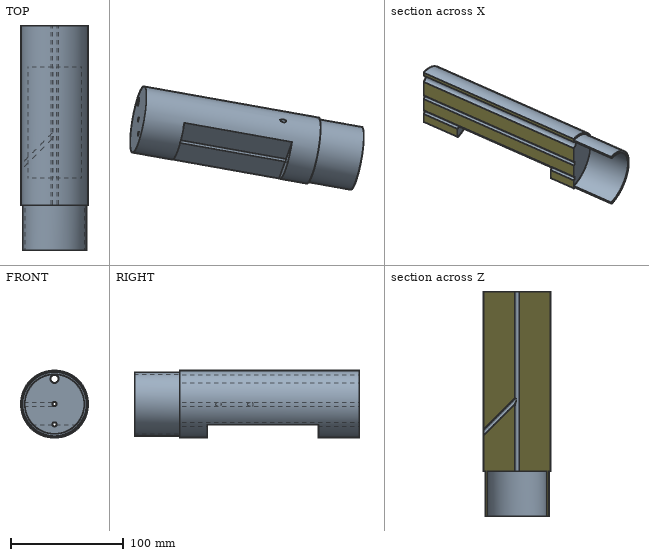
import cadquery as cq
import math

length = 200.0
body_diameter = 60.0
neck_diameter = 57.0
neck_length = 40.0
bore_diameter = 53.0
bore_depth = neck_length

cable_hole_diameter = 7.0
cable_hole_height = 22.5
wire_hole_diameter = 3.5
lower_wire_hole_height = -18.0

cutout_length = 98.8
cutout_end_distance = 36.5
cutout_top = -18.5

slant_angle = 45.0
slanted_hole_end_distance = 125.5
mouth_overrun = 10.0

front_y = -length / 2
back_y = length / 2


def cylinder_along_y(diameter, start_y, end_y, height=0.0):
    """Cylinder parallel to Y, centred at X = 0 and Z = height."""
    radius = diameter / 2
    start = cq.Vector(0, start_y, height)
    return cq.Workplane(cq.Solid.makeCylinder(radius, end_y - start_y, start, cq.Vector(0, 1, 0)))


body = cylinder_along_y(body_diameter, front_y + neck_length, back_y)
neck = cylinder_along_y(neck_diameter, front_y, front_y + neck_length)
bore = cylinder_along_y(bore_diameter, front_y, front_y + bore_depth)
result = body.union(neck).cut(bore)

for diameter, height in [
    (cable_hole_diameter, cable_hole_height),
    (wire_hole_diameter, 0.0),
    (wire_hole_diameter, lower_wire_hole_height),
]:
    result = result.cut(cylinder_along_y(diameter, front_y, back_y, height))

cutout_center_y = back_y - cutout_end_distance - cutout_length / 2
cutout = (
    cq.Workplane("XY", origin=(0, cutout_center_y, cutout_top))
    .rect(body_diameter, cutout_length)
    .extrude(-body_diameter)
)
result = result.cut(cutout)

slant = math.radians(slant_angle)
slant_direction = cq.Vector(math.cos(slant), math.sin(slant), 0)
mouth = cq.Vector(-body_diameter / 2, back_y - slanted_hole_end_distance, 0)
slanted_hole_depth = body_diameter / 2 / math.cos(slant)
slanted_hole = cq.Solid.makeCylinder(
    wire_hole_diameter / 2,
    slanted_hole_depth + mouth_overrun,
    mouth - slant_direction * mouth_overrun,
    slant_direction,
)
result = result.cut(cq.Workplane(slanted_hole))